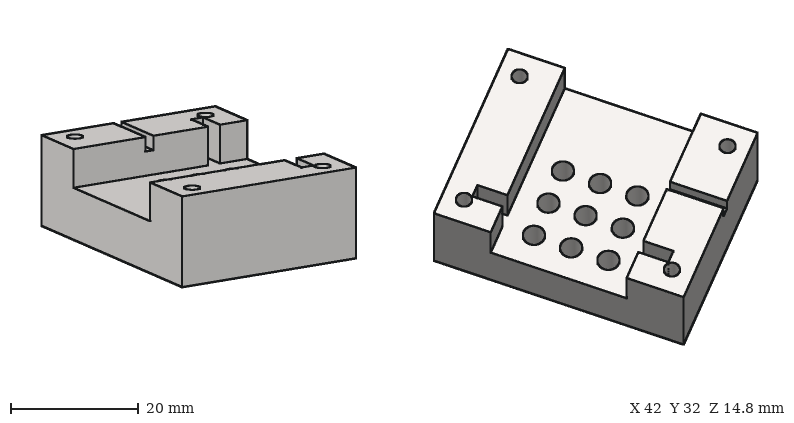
import cadquery as cq

length, width, height = 42.0, 32.0, 14.8
channel_width = 22.85
channel_depth = 6.3
floor_height = height - channel_depth

mount_diameter = 2.5
mount_spacing_x = 34.95
mount_spacing_y = 24.02

grid_diameter = 3.5
grid_pitch = 6.25
grid_count = 3
grid_center_y = 4.35

slot_span = 32.93
slot_width = 2.2
slot_center_y = 9.85

groove_width = 1.43
groove_depth = 2.35
groove_center_y = -2.0


def make_block():
    """Block centred in X and Y, with its underside at Z = 0."""
    return cq.Workplane("XY").box(length, width, height, centered=(True, True, False))


def top_cut(size_x, size_y, depth, center_x=0, center_y=0):
    """Rectangular cutter reaching down from the top face."""
    return (
        cq.Workplane("XY", origin=(center_x, center_y, height - depth))
        .box(size_x, size_y, depth, centered=(True, True, False))
    )


def mounting_holes():
    return (
        cq.Workplane("XY")
        .rect(mount_spacing_x, mount_spacing_y, forConstruction=True)
        .vertices()
        .circle(mount_diameter / 2)
        .extrude(height)
    )


def grid_holes():
    return (
        cq.Workplane("XY", origin=(0, grid_center_y, 0))
        .rarray(grid_pitch, grid_pitch, grid_count, grid_count)
        .circle(grid_diameter / 2)
        .extrude(floor_height)
    )


wall_width = (length - channel_width) / 2
wall_center_x = (length - wall_width) / 2

result = (
    make_block()
    .cut(top_cut(channel_width, width, channel_depth))
    .cut(top_cut(slot_span, slot_width, channel_depth, center_y=slot_center_y))
    .cut(top_cut(wall_width, groove_width, groove_depth, -wall_center_x, groove_center_y))
    .cut(mounting_holes())
    .cut(grid_holes())
)